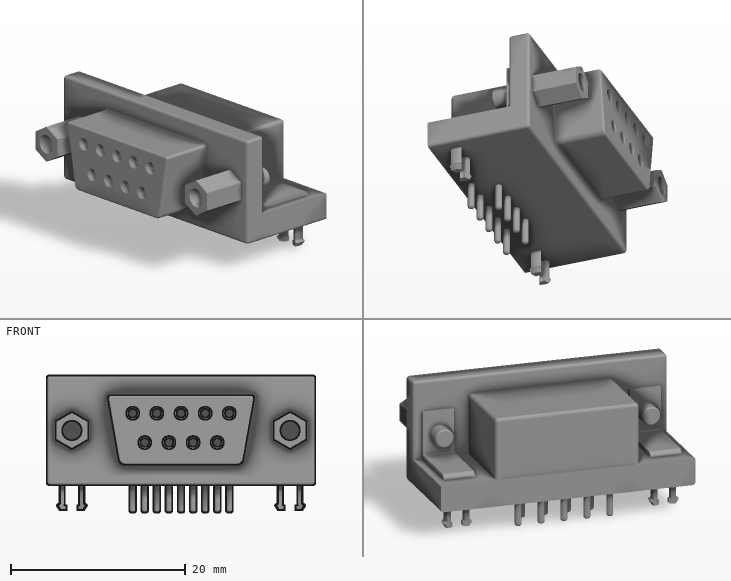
import cadquery as cq
import math


body_width = 30.85
body_height = 12.6
body_depth = 12.52
flange_thickness = 2.53
base_height = 3.18
body_fillet = 0.35

housing_width = 17.4
housing_top = 10.52
housing_back = 12.3
housing_fillet = 0.4

shell_length = 6.05
shell_half_width = 8.45
shell_bottom = 2.37
shell_top = 10.33
shell_slope = 10.0
shell_top_corner = 0.3
shell_bottom_corner = 0.68
shell_fillet = 0.25

contact_pitch = 2.78
upper_row_count = 5
lower_row_count = 4
upper_row_z = 8.25
lower_row_z = 4.9
contact_hole_diameter = 1.02
contact_hole_depth = 3.7
contact_lead_in = 0.25

pin_diameter = 0.8
pin_length = 3.15
pin_tip_fillet = 0.3
upper_row_pin_y = 11.0
lower_row_pin_y = 8.17

mount_x = 12.52
mount_z = 6.3
standoff_across_flats = 3.7
standoff_length = 5.37
thread_diameter = 2.22
screw_tip_y = 5.37
screw_chamfer = 0.15

bracket_width = 3.75
bracket_thickness = 0.65
bracket_foot_thickness = 0.62
bracket_top = 8.97
bracket_end_y = 10.58
bracket_bend_radius = 0.2

lock_y = (upper_row_pin_y + lower_row_pin_y) / 2
lock_sector_angle = 50.0
lock_outer_radius = 1.48
lock_inner_radius = 0.9
lock_barb_radius = 1.75
lock_tip_outer_radius = 1.42
lock_tip_inner_radius = 0.68
lock_barb_top = -2.07
lock_barb_z = -2.3
lock_step_z = -2.28
lock_tip_z = -2.85

overlap = 0.3


def block(width, y_start, y_end, z_start, z_end):
    """Box centred on X between the given Y and Z limits."""
    return (
        cq.Workplane("XY")
        .box(width, y_end - y_start, z_end - z_start, centered=(True, False, False))
        .translate((0, y_start, z_start))
    )


def make_body():
    """Rounded flange plate with the base reaching backwards from it."""
    flange = block(body_width, 0, flange_thickness, 0, body_height).edges().fillet(body_fillet)
    base = block(body_width, flange_thickness / 2, body_depth, 0, base_height)
    base = base.edges("|Y and <Z").fillet(body_fillet)
    return flange.union(base)


def make_housing():
    """Contact housing behind the flange, rounded at the top, sides and back."""
    housing = block(housing_width, flange_thickness / 2, housing_back, base_height / 2, housing_top)
    return housing.edges("(|Y and >Z) or (|Z and >Y) or (|X and >Y and >Z)").fillet(housing_fillet)


def make_shell():
    """Trapezoidal shell with rounded corners and a rounded front rim."""
    narrowing = (shell_top - shell_bottom) * math.tan(math.radians(shell_slope))
    bottom_half_width = shell_half_width - narrowing
    shell = (
        cq.Workplane("XZ", origin=(0, overlap, 0))
        .polyline([
            (-shell_half_width, shell_top),
            (shell_half_width, shell_top),
            (bottom_half_width, shell_bottom),
            (-bottom_half_width, shell_bottom),
        ])
        .close()
        .extrude(shell_length + overlap)
    )
    shell = shell.edges("|Y and >Z").fillet(shell_top_corner)
    shell = shell.edges("|Y and <Z").fillet(shell_bottom_corner)
    return shell.faces("<Y").edges().fillet(shell_fillet)


def fillet_shell_root(part):
    """Concave fillet where the shell meets the flange front."""
    margin = overlap / 2
    low = (-shell_half_width - margin, -margin, shell_bottom - margin)
    high = (shell_half_width + margin, margin, shell_top + margin)
    root = cq.selectors.BoxSelector(low, high, boundingbox=True)
    return part.edges(root).fillet(shell_fillet)


def row_positions(count):
    """X places of one contact row, centred on the connector."""
    return [(i - (count - 1) / 2) * contact_pitch for i in range(count)]


def make_contact_holes(count, z):
    """Cutters for one row of sockets, each with a conical lead-in."""
    radius = contact_hole_diameter / 2
    points = [(x, z) for x in row_positions(count)]
    front = cq.Workplane("XZ", origin=(0, -shell_length, 0)).pushPoints(points)
    bores = front.circle(radius).extrude(-contact_hole_depth)
    for x in row_positions(count):
        cone = cq.Solid.makeCone(
            radius + contact_lead_in, radius, contact_lead_in,
            pnt=cq.Vector(x, -shell_length, z), dir=cq.Vector(0, 1, 0),
        )
        bores = bores.union(cq.Workplane(cone))
    return bores


def make_pins(count, y):
    """One row of solder pins with rounded tips."""
    return (
        cq.Workplane("XY", origin=(0, 0, overlap))
        .pushPoints([(x, y) for x in row_positions(count)])
        .circle(pin_diameter / 2)
        .extrude(-pin_length - overlap)
        .faces("<Z")
        .edges()
        .fillet(pin_tip_fillet)
    )


def make_standoff(x):
    """Hexagonal standoff with flats facing sideways and a threaded bore."""
    corner_diameter = standoff_across_flats / math.cos(math.radians(30))
    hexagon = (
        cq.Workplane("XZ", origin=(x, overlap, mount_z))
        .transformed(rotate=(0, 0, 90))
        .polygon(6, corner_diameter)
        .extrude(standoff_length + overlap)
    )
    bore = (
        cq.Workplane("XZ", origin=(x, 0, mount_z))
        .circle(thread_diameter / 2)
        .extrude(standoff_length)
    )
    return hexagon.cut(bore)


def make_bracket(x):
    """L-shaped bracket with a rounded end, and the screw end behind it."""
    leg_y = flange_thickness + bracket_thickness
    foot_top = base_height + bracket_foot_thickness
    hidden_y = flange_thickness - overlap
    hidden_z = base_height - overlap
    end_centre_y = bracket_end_y - bracket_foot_thickness
    arc_offset = bracket_foot_thickness * math.sqrt(0.5)
    bracket = (
        cq.Workplane("YZ", origin=(x - bracket_width / 2, 0, 0))
        .moveTo(hidden_y, hidden_z)
        .lineTo(hidden_y, bracket_top)
        .lineTo(leg_y, bracket_top)
        .lineTo(leg_y, foot_top + bracket_bend_radius)
        .radiusArc((leg_y + bracket_bend_radius, foot_top), -bracket_bend_radius)
        .lineTo(end_centre_y, foot_top)
        .threePointArc(
            (end_centre_y + arc_offset, base_height + arc_offset),
            (bracket_end_y, base_height),
        )
        .lineTo(bracket_end_y, hidden_z)
        .close()
        .extrude(bracket_width)
    )
    screw = (
        cq.Workplane("XZ", origin=(x, leg_y, mount_z))
        .circle(thread_diameter / 2)
        .extrude(leg_y - screw_tip_y)
        .edges()
        .chamfer(screw_chamfer)
    )
    return bracket.union(screw)


def make_board_lock(x):
    """Two barbed prongs facing outwards along X."""
    profile = (
        cq.Workplane("XZ")
        .polyline([
            (lock_inner_radius, overlap),
            (lock_outer_radius, overlap),
            (lock_outer_radius, lock_barb_top),
            (lock_barb_radius, lock_barb_z),
            (lock_tip_outer_radius, lock_tip_z),
            (lock_tip_inner_radius, lock_tip_z),
            (lock_tip_inner_radius, lock_step_z),
            (lock_inner_radius, lock_step_z),
        ])
        .close()
    )
    sector = profile.revolve(lock_sector_angle, (0, 0, 0), (0, 1, 0))
    right = sector.rotate((0, 0, 0), (0, 0, 1), -lock_sector_angle / 2)
    left = right.mirror("YZ")
    return right.union(left).translate((x, lock_y, 0))


part = make_body().union(make_housing()).union(make_shell())
part = fillet_shell_root(part)
part = part.cut(make_contact_holes(upper_row_count, upper_row_z))
part = part.cut(make_contact_holes(lower_row_count, lower_row_z))
part = part.union(make_pins(upper_row_count, upper_row_pin_y))
part = part.union(make_pins(lower_row_count, lower_row_pin_y))
for side in (-1, 1):
    part = part.union(make_standoff(side * mount_x))
    part = part.union(make_bracket(side * mount_x))
    part = part.union(make_board_lock(side * mount_x))

result = part